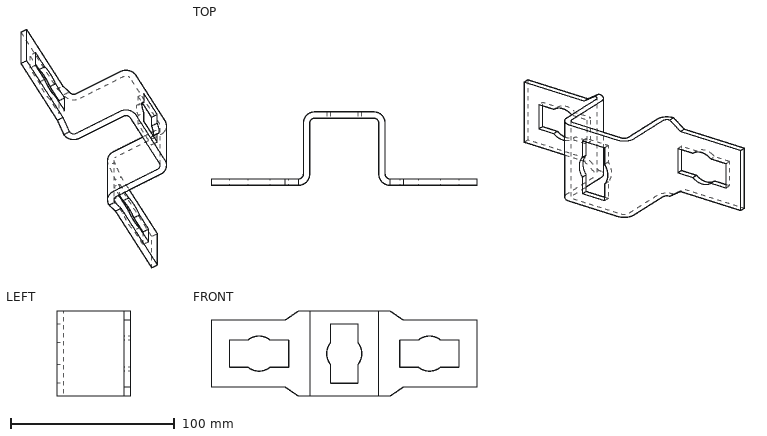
import cadquery as cq

thickness = 4.0
inner_radius = 3.0
outer_radius = inner_radius + thickness

total_length = 162.0
total_depth = 45.0
hat_height = 52.0
hat_width = 50.0

flange_height = 41.0
taper_length = 8.0

slot_length = 36.0
slot_width = 16.5
hole_diameter = 21.3
flange_hole_offset = 52.0

half_length = total_length / 2
half_hat = hat_width / 2
half_cavity = half_hat - thickness
web_inner_y = total_depth - thickness
flange_bend_x = half_cavity + outer_radius
taper_end_x = flange_bend_x + taper_length


def extrude_along_z(sketch):
    """Extrude an XY sketch over the full hat height, centred on Z."""
    return sketch.extrude(hat_height / 2, both=True)


def round_vertical_edges(body, x, y, radius):
    """Round the pair of vertical edges at (-x, y) and (x, y)."""
    for edge_x in (-x, x):
        nearest = cq.selectors.NearestToPointSelector((edge_x, y, 0))
        body = body.edges("|Z").edges(nearest).fillet(radius)
    return body


def bent_sheet():
    """Hat-profile sheet with four right-angle bends, at full height throughout."""
    outline = cq.Workplane("XY").polyline([
        (-half_length, 0),
        (-half_cavity, 0),
        (-half_cavity, web_inner_y),
        (half_cavity, web_inner_y),
        (half_cavity, 0),
        (half_length, 0),
        (half_length, thickness),
        (half_hat, thickness),
        (half_hat, total_depth),
        (-half_hat, total_depth),
        (-half_hat, thickness),
        (-half_length, thickness),
    ]).close()
    sheet = extrude_along_z(outline)
    sheet = round_vertical_edges(sheet, half_cavity, web_inner_y, inner_radius)
    sheet = round_vertical_edges(sheet, half_hat, total_depth, outer_radius)
    sheet = round_vertical_edges(sheet, half_hat, thickness, inner_radius)
    sheet = round_vertical_edges(sheet, half_cavity, 0, outer_radius)
    return sheet


def tapered_blank():
    """Tapered XZ outline of the bracket, as a block reaching through its full depth."""
    right_top = [
        (flange_bend_x, hat_height / 2),
        (taper_end_x, flange_height / 2),
        (half_length, flange_height / 2),
    ]
    right_bottom = [(x, -z) for x, z in reversed(right_top)]
    left_bottom = [(-x, -z) for x, z in right_top]
    left_top = [(-x, z) for x, z in reversed(right_top)]
    outline = cq.Workplane("XZ").polyline(right_top + right_bottom + left_bottom + left_top).close()
    return outline.extrude(-total_depth)


def keyhole(center_x, length_x, length_z):
    """Cutter for one keyhole opening, reaching through the full depth."""
    plane = cq.Workplane("XZ").center(center_x, 0)
    slot = plane.rect(length_x, length_z).extrude(-total_depth)
    hole = plane.circle(hole_diameter / 2).extrude(-total_depth)
    return slot.union(hole)


result = bent_sheet().intersect(tapered_blank())
result = result.cut(keyhole(0, slot_width, slot_length))
for side in (-1, 1):
    result = result.cut(keyhole(side * flange_hole_offset, slot_length, slot_width))